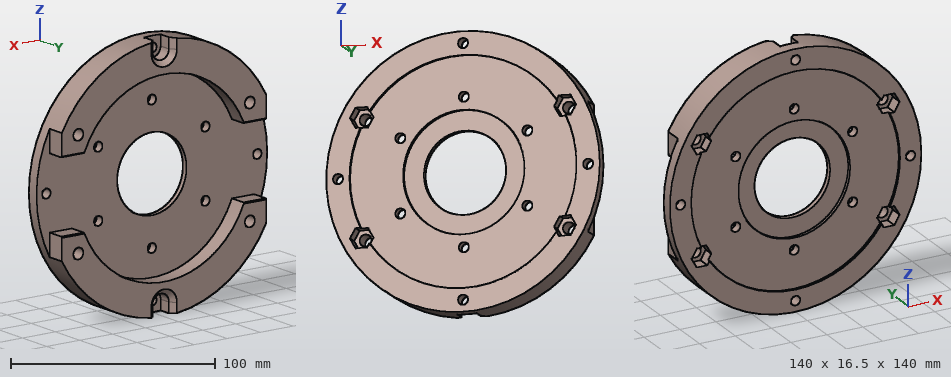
import cadquery as cq
import math

disc_diameter = 140
thickness = 16.5
bore_diameter = 42

outer_recess_diameter = 116.2
outer_recess_depth = 1.4
inner_recess_diameter = 62.2
inner_recess_depth = 3.4

floor_height = 6.5
cavity_diameter = 105
channel_width = 40.0
channel_chamfer = 0.5
flat_distance = 62.0

small_hole_diameter = 5.0
bore_hole_count = 6
bore_hole_circle_radius = 37.5
bore_hole_start_angle = 30
rim_hole_count = 4
rim_hole_circle_radius = 64.0

notch_width = 10.0
notch_floor_height = 6.9
notch_chamfer = 2.8

bolt_hole_diameter = 6.0
bolt_circle_radius = 60.0
bolt_angle = 30
nut_sides = 6
nut_across_flats = 10.1
nut_pocket_depth = 7

disc_radius = disc_diameter / 2
back_depth = thickness - floor_height


def plane_at(height):
    """Sketch plane parallel to the disc at a height above its front face."""
    return cq.Workplane("XZ", origin=(0, height, 0))


def cylinder(diameter, depth, start_height=0):
    return plane_at(start_height).circle(diameter / 2).extrude(-depth)


def make_hole_ring(circle_radius, start_angle, count):
    centers = plane_at(0).polarArray(circle_radius, start_angle, 360, count)
    return centers.circle(small_hole_diameter / 2).extrude(-thickness)


def flared_outline(half_width, depth, chamfer):
    """Right half of an opening that widens at 45 degrees over its last stretch in Y."""
    return (
        cq.Workplane("XY")
        .lineTo(half_width, 0)
        .lineTo(half_width, depth - chamfer)
        .lineTo(half_width + chamfer, depth)
        .lineTo(0, depth)
        .close()
    )


def make_flared_slot(half_width, depth, chamfer, length):
    """Straight flared slot running from the origin along +Z."""
    half = flared_outline(half_width, depth, chamfer).extrude(length)
    return half.union(half.mirror("YZ"))


def make_channel():
    slot = make_flared_slot(channel_width / 2, back_depth, channel_chamfer, disc_diameter)
    slot = slot.translate((0, floor_height, -disc_radius))
    return slot.rotate((0, 0, 0), (0, 1, 0), 90)


def make_end_flat():
    """Block that removes the rim beyond the flat on the +X side."""
    block = cq.Workplane("XY").box(
        disc_radius, back_depth, disc_diameter, centered=(False, False, True)
    )
    return block.translate((flat_distance, floor_height, 0))


def make_notch():
    """Round-ended flared notch that opens through the top of the rim."""
    half_width = notch_width / 2
    depth = thickness - notch_floor_height
    round_end = flared_outline(half_width, depth, notch_chamfer).revolve(360, (0, 0), (0, 1))
    outlet = make_flared_slot(half_width, depth, notch_chamfer, disc_radius)
    notch = round_end.union(outlet)
    return notch.translate((0, notch_floor_height, rim_hole_circle_radius))


def make_bolt_seats():
    """Four bolt holes with nut pockets, flats of the hexagons facing up and down."""
    spacing_x = 2 * bolt_circle_radius * math.cos(math.radians(bolt_angle))
    spacing_z = 2 * bolt_circle_radius * math.sin(math.radians(bolt_angle))
    nut_across_corners = nut_across_flats / math.cos(math.pi / nut_sides)
    centers = plane_at(0).rarray(spacing_x, spacing_z, 2, 2)
    holes = centers.circle(bolt_hole_diameter / 2).extrude(-thickness)
    pockets = centers.polygon(nut_sides, nut_across_corners).extrude(-nut_pocket_depth)
    return holes.union(pockets)


result = cylinder(disc_diameter, thickness)
result = result.cut(cylinder(bore_diameter, thickness))
result = result.cut(cylinder(outer_recess_diameter, outer_recess_depth))
result = result.cut(cylinder(inner_recess_diameter, inner_recess_depth))
result = result.cut(cylinder(cavity_diameter, back_depth, floor_height))

end_flat = make_end_flat()
result = result.cut(make_channel())
result = result.cut(end_flat)
result = result.cut(end_flat.mirror("YZ"))

notch = make_notch()
result = result.cut(make_hole_ring(bore_hole_circle_radius, bore_hole_start_angle, bore_hole_count))
result = result.cut(make_hole_ring(rim_hole_circle_radius, 0, rim_hole_count))
result = result.cut(notch)
result = result.cut(notch.mirror("XY"))

result = result.cut(make_bolt_seats())